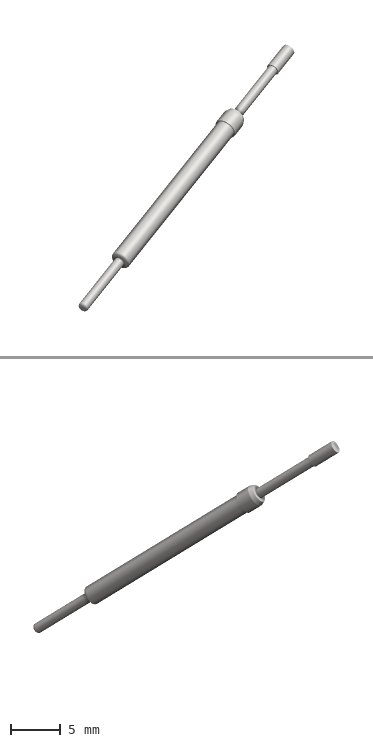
import cadquery as cq

total_length = 39.1

head_length = 3.0
plunger_reach = 9.97
collar_length = 2.0
collar_taper_length = 0.45
tail_length = 7.08

head_diameter = 1.33
plunger_diameter = 1.05
collar_diameter = 2.3
collar_taper_diameter = 1.9
barrel_diameter = 2.05
tail_diameter = 1.05

barrel_end_radius = 0.3
tail_tip_radius = 0.3

head_end = total_length / 2
tail_end = -total_length / 2
head_shoulder = head_end - head_length
collar_top = head_end - plunger_reach
collar_bottom = collar_top - collar_length
barrel_end = tail_end + tail_length


def cylinder(diameter, start, end):
    """Solid round bar on the Y axis from start up to end."""
    plane = cq.Workplane("XZ", origin=(0, start, 0))
    return plane.circle(diameter / 2).extrude(start - end)


def tapered_collar():
    """Press-fit collar with a lead-in cone on its +Y side."""
    taper_inset = (collar_diameter - collar_taper_diameter) / 2
    collar = cylinder(collar_diameter, collar_bottom, collar_top)
    profile = (
        cq.Workplane("XY")
        .moveTo(collar_diameter / 2, collar_top - collar_taper_length)
        .lineTo(collar_diameter / 2, collar_top)
        .lineTo(collar_diameter / 2 - taper_inset, collar_top)
        .close()
    )
    return collar.cut(profile.revolve(360, (0, 0, 0), (0, 1, 0)))


head = cylinder(head_diameter, head_shoulder, head_end)
plunger = cylinder(plunger_diameter, collar_top, head_shoulder)
barrel = cylinder(barrel_diameter, barrel_end, collar_bottom).faces("<Y").edges().fillet(barrel_end_radius)
tail = cylinder(tail_diameter, tail_end, barrel_end).faces("<Y").edges().fillet(tail_tip_radius)

result = head.union(plunger).union(tapered_collar()).union(barrel).union(tail)